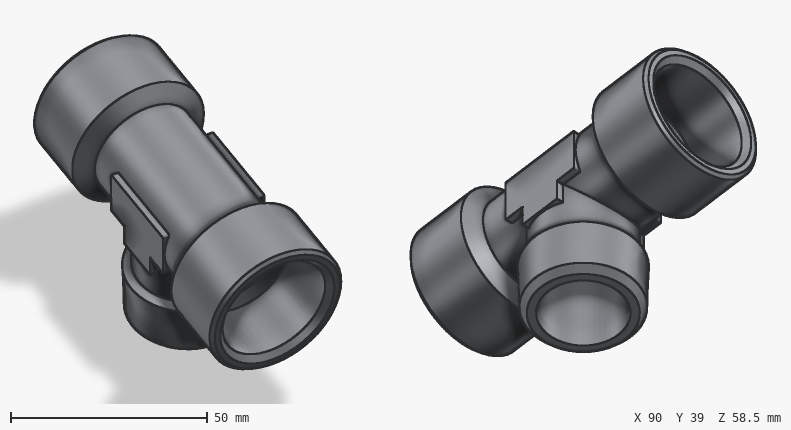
import cadquery as cq
import math

run_length = 90.0
socket_diameter = 39.0
pipe_diameter = 29.0
through_diameter = 24.0
collar_length = 20.1
collar_cone_length = 2.9
rim_chamfer = 1.0

socket_bore_diameter = 30.3
entry_diameter = 33.75
entry_half_angle = 45.0
socket_bore_depth = 18.9
inner_half_angle = 60.0

overall_height = 58.5
branch_end = overall_height - socket_diameter / 2
spigot_length = 16.2
spigot_diameter = 33.5
spigot_taper = 1 / 16
shoulder_length = 1.3
tip_chamfer_length = 2.2
tip_diameter = 28.8

pad_face_span = 30.0
pad_width = 26.0
pad_top = 6.4
pad_shoulder = -6.7
pad_stem_width = 13.0
pad_bottom = -13.0
pad_corner_radius = 0.4

half_run = run_length / 2
pipe_radius = pipe_diameter / 2
socket_radius = socket_diameter / 2
through_radius = through_diameter / 2


def revolve_about_run(right_side):
    """Revolve a profile about X after mirroring its (x, radius) points to the left."""
    left_side = [(-x, radius) for x, radius in reversed(right_side)]
    outline = [(-half_run, 0), *left_side, *right_side, (half_run, 0)]
    return cq.Workplane("XY").polyline(outline).close().revolve(360, (0, 0, 0), (1, 0, 0))


def run_body():
    """Solid run, revolved about X."""
    collar_start = half_run - collar_length
    cone_start = collar_start - collar_cone_length
    right_side = [
        (cone_start, pipe_radius),
        (collar_start, socket_radius),
        (half_run - rim_chamfer, socket_radius),
        (half_run, socket_radius - rim_chamfer),
    ]
    return revolve_about_run(right_side)


def branch_body():
    """Solid branch, revolved about Z."""
    spigot_top = spigot_length - branch_end
    taper_bottom = tip_chamfer_length - branch_end
    taper_length = spigot_top - taper_bottom
    spigot_radius = spigot_diameter / 2
    outline = [
        (0, 0),
        (pipe_radius, 0),
        (pipe_radius, spigot_top + shoulder_length),
        (spigot_radius, spigot_top),
        (spigot_radius - taper_length * spigot_taper / 2, taper_bottom),
        (tip_diameter / 2, -branch_end),
        (0, -branch_end),
    ]
    return cq.Workplane("XZ").polyline(outline).close().revolve(360, (0, 0, 0), (0, 1, 0))


def pads():
    """T-shaped slab through the fitting; its two faces form the side pads."""
    half_span = pad_face_span / 2
    head_height = pad_top - pad_shoulder
    stem_height = pad_top - pad_bottom
    head = (
        cq.Workplane("XZ")
        .center(0, pad_top - head_height / 2)
        .rect(pad_width, head_height)
        .extrude(half_span, both=True)
        .edges("|Y")
        .fillet(pad_corner_radius)
    )
    stem = (
        cq.Workplane("XZ")
        .center(0, pad_top - stem_height / 2)
        .rect(pad_stem_width, stem_height)
        .extrude(half_span, both=True)
    )
    return head.union(stem)


def run_bore():
    """Through bore with a socket at each end, revolved about X."""
    bore_radius = socket_bore_diameter / 2
    entry_radius = entry_diameter / 2
    entry_depth = (entry_radius - bore_radius) / math.tan(math.radians(entry_half_angle))
    inner_cone_length = (bore_radius - through_radius) / math.tan(math.radians(inner_half_angle))
    bore_end = half_run - socket_bore_depth
    right_side = [
        (bore_end - inner_cone_length, through_radius),
        (bore_end, bore_radius),
        (half_run - entry_depth, bore_radius),
        (half_run, entry_radius),
    ]
    return revolve_about_run(right_side)


def branch_bore():
    """Plain bore from the run out through the branch end."""
    return cq.Workplane("XY").circle(through_radius).extrude(-branch_end)


result = run_body().union(branch_body()).union(pads()).cut(run_bore()).cut(branch_bore())